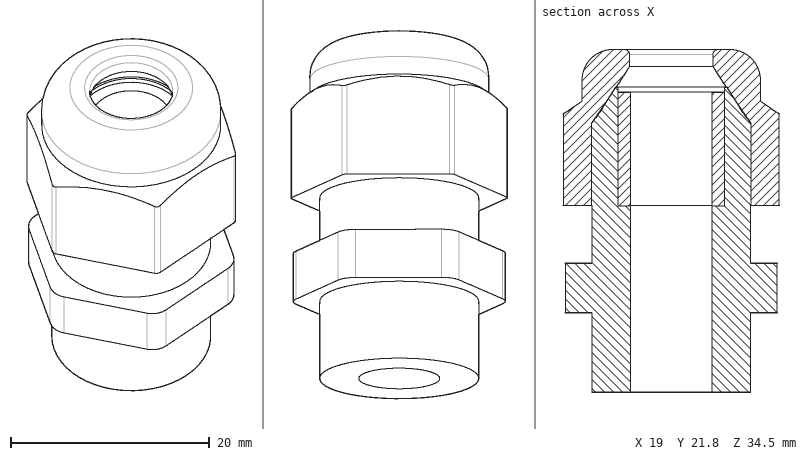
import cadquery as cq
import math

ACROSS_FLATS = 19.0
NUT_CORNER_RADIUS = 0.6
COLLAR_CORNER_RADIUS = 2.0

COLLAR_BOTTOM = 8.0
COLLAR_TOP = 13.0
NUT_BOTTOM = 18.77
NUT_SHOULDER = 29.3
DOME_START = 31.12
TOTAL_HEIGHT = 34.5

DOME_RADIUS = 9.0
DOME_FLAT_RADIUS = 6.18
NUT_CHAMFER_ANGLE = 34.5
LIP_RADIUS = 4.17
LIP_ROUND = 0.52
LIP_BOTTOM = 32.78

TUBE_RADIUS = 8.0
BORE_RADIUS = 4.07
RIM_RADIUS = 5.55
RIM_HEIGHT = 30.7
SEAL_RADIUS = 5.3
SEAL_TOP = 30.2
SEAL_BOTTOM = NUT_BOTTOM

CONE_SLOPE = (LIP_BOTTOM - RIM_HEIGHT) / (RIM_RADIUS - LIP_RADIUS)
CONE_BOTTOM = LIP_BOTTOM - CONE_SLOPE * (TUBE_RADIUS - LIP_RADIUS)


def cylinder(radius, bottom, top):
    return cq.Workplane("XY").workplane(offset=bottom).circle(radius).extrude(top - bottom)


def hexagon(corner_radius, bottom, top):
    """Hexagonal prism with corners on the Y axis and rounded upright edges."""
    prism = (
        cq.Workplane("XY")
        .workplane(offset=bottom)
        .polygon(6, ACROSS_FLATS, circumscribed=True)
        .extrude(top - bottom)
    )
    return prism.edges("|Z").fillet(corner_radius)


def revolve_profile(profile):
    """Turn a closed radius-height profile about the Z axis."""
    return profile.close().revolve(360, (0, 0, 0), (0, 1, 0))


def chamfered_nut_hexagon():
    reach = ACROSS_FLATS
    drop = (reach - DOME_RADIUS) * math.tan(math.radians(NUT_CHAMFER_ANGLE))
    turning_cone = revolve_profile(
        cq.Workplane("XZ")
        .moveTo(0, 0)
        .lineTo(reach, 0)
        .lineTo(reach, NUT_SHOULDER - drop)
        .lineTo(DOME_RADIUS, NUT_SHOULDER)
        .lineTo(0, NUT_SHOULDER)
    )
    return hexagon(NUT_CORNER_RADIUS, NUT_BOTTOM, NUT_SHOULDER).intersect(turning_cone)


def nut_dome():
    dome_width = DOME_RADIUS - DOME_FLAT_RADIUS
    dome_height = TOTAL_HEIGHT - DOME_START
    middle = (
        DOME_FLAT_RADIUS + dome_width * math.sqrt(0.5),
        DOME_START + dome_height * math.sqrt(0.5),
    )
    return revolve_profile(
        cq.Workplane("XZ")
        .moveTo(0, NUT_BOTTOM)
        .lineTo(DOME_RADIUS, NUT_BOTTOM)
        .lineTo(DOME_RADIUS, DOME_START)
        .threePointArc(middle, (DOME_FLAT_RADIUS, TOTAL_HEIGHT))
        .lineTo(0, TOTAL_HEIGHT)
    )


def nut_cavity():
    """Tube socket, conical contact face and rounded cable entry."""
    round_center_radius = LIP_RADIUS + LIP_ROUND
    round_bottom = TOTAL_HEIGHT - LIP_ROUND
    round_middle = (
        round_center_radius - LIP_ROUND * math.sqrt(0.5),
        round_bottom + LIP_ROUND * math.sqrt(0.5),
    )
    return revolve_profile(
        cq.Workplane("XZ")
        .moveTo(0, NUT_BOTTOM)
        .lineTo(TUBE_RADIUS, NUT_BOTTOM)
        .lineTo(TUBE_RADIUS, CONE_BOTTOM)
        .lineTo(LIP_RADIUS, LIP_BOTTOM)
        .lineTo(LIP_RADIUS, round_bottom)
        .threePointArc(round_middle, (round_center_radius, TOTAL_HEIGHT))
        .lineTo(0, TOTAL_HEIGHT)
    )


def make_cap_nut():
    return chamfered_nut_hexagon().union(nut_dome()).cut(nut_cavity())


def make_gland_body():
    tube = revolve_profile(
        cq.Workplane("XZ")
        .moveTo(0, 0)
        .lineTo(TUBE_RADIUS, 0)
        .lineTo(TUBE_RADIUS, CONE_BOTTOM)
        .lineTo(RIM_RADIUS, RIM_HEIGHT)
        .lineTo(0, RIM_HEIGHT)
    )
    collar = hexagon(COLLAR_CORNER_RADIUS, COLLAR_BOTTOM, COLLAR_TOP)
    bore = cylinder(BORE_RADIUS, 0, RIM_HEIGHT)
    seal_seat = cylinder(SEAL_RADIUS, SEAL_BOTTOM, RIM_HEIGHT)
    return tube.union(collar).cut(bore).cut(seal_seat)


def make_seal():
    ring = cylinder(SEAL_RADIUS, SEAL_BOTTOM, SEAL_TOP)
    return ring.cut(cylinder(BORE_RADIUS, SEAL_BOTTOM, SEAL_TOP))


cap_nut = make_cap_nut()
gland_body = make_gland_body()
seal = make_seal()

result = cq.Compound.makeCompound([cap_nut.val(), gland_body.val(), seal.val()])